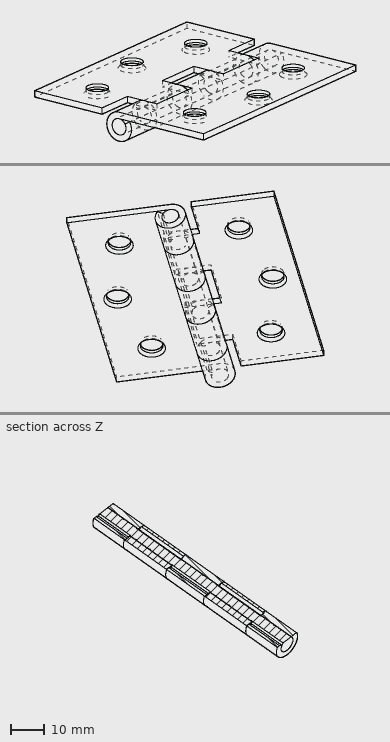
import cadquery as cq
import math

hinge_length = 76.2
hinge_width = 63.5
barrel_radius = 4.65
leaf_thickness = 2.05
pin_radius = barrel_radius - leaf_thickness
leaf_reach = hinge_width / 2

end_knuckle_length = 12.7
side_knuckle_length = 17.5
middle_knuckle_length = hinge_length - 2 * (end_knuckle_length + side_knuckle_length)
side_knuckle_center = (middle_knuckle_length + side_knuckle_length) / 2
end_knuckle_center = (hinge_length - end_knuckle_length) / 2

left_notch_edge = 6.4
right_notch_edge = barrel_radius

curl_end_angle = 31.5

hole_diameter = 6.8
countersink_depth = leaf_thickness / 2
countersink_diameter = 8.3
outer_hole_x = 18.3
outer_hole_y = 24.6
middle_hole_x = 23.8
hole_points = [
    (outer_hole_x, -outer_hole_y),
    (middle_hole_x, 0),
    (outer_hole_x, outer_hole_y),
]

left_knuckles = [
    (-side_knuckle_center, side_knuckle_length),
    (side_knuckle_center, side_knuckle_length),
]
right_knuckles = [
    (-end_knuckle_center, end_knuckle_length),
    (0, middle_knuckle_length),
    (end_knuckle_center, end_knuckle_length),
]


def polar_point(radius, angle):
    """Point at an angle in degrees, measured from +X toward +Z."""
    turn = math.radians(angle)
    return radius * math.cos(turn), radius * math.sin(turn)


def make_knuckle(center_y, length, notch_edge):
    """Strip that leaves the +X leaf at its notch edge and rolls around the pin."""
    middle_angle = (90 + 360 + curl_end_angle) / 2
    return (
        cq.Workplane("XZ", origin=(0, center_y, 0))
        .moveTo(notch_edge, barrel_radius)
        .lineTo(0, barrel_radius)
        .threePointArc(polar_point(barrel_radius, middle_angle), polar_point(barrel_radius, curl_end_angle))
        .lineTo(*polar_point(pin_radius, curl_end_angle))
        .threePointArc(polar_point(pin_radius, middle_angle), (0, pin_radius))
        .lineTo(notch_edge, pin_radius)
        .close()
        .extrude(length / 2, both=True)
    )


def make_hole_tool(x, y):
    """Through hole and its countersink, opening toward the barrel side of the leaf."""
    underside = cq.Workplane("XY", origin=(x, y, pin_radius))
    bore = underside.circle(hole_diameter / 2).extrude(leaf_thickness)
    countersink = (
        underside.circle(countersink_diameter / 2)
        .workplane(offset=countersink_depth)
        .circle(hole_diameter / 2)
        .loft(ruled=True)
    )
    return bore.union(countersink)


def make_leaf(notch_edge, knuckles):
    """Leaf on the +X side: a flat plate with its knuckles and screw holes."""
    plate_width = leaf_reach - notch_edge
    leaf = cq.Workplane("XY").box(plate_width, hinge_length, leaf_thickness).translate(
        (notch_edge + plate_width / 2, 0, pin_radius + leaf_thickness / 2)
    )
    for center_y, length in knuckles:
        leaf = leaf.union(make_knuckle(center_y, length, notch_edge))
    for x, y in hole_points:
        leaf = leaf.cut(make_hole_tool(x, y))
    return leaf


def make_pin():
    """Plain pin, flush with both ends of the barrel."""
    return cq.Workplane("XZ").circle(pin_radius).extrude(hinge_length / 2, both=True)


right_leaf = make_leaf(right_notch_edge, right_knuckles)
left_leaf = make_leaf(left_notch_edge, left_knuckles).mirror("YZ")
pin = make_pin()

result = cq.Compound.makeCompound([left_leaf.solids().val(), right_leaf.solids().val(), pin.val()])